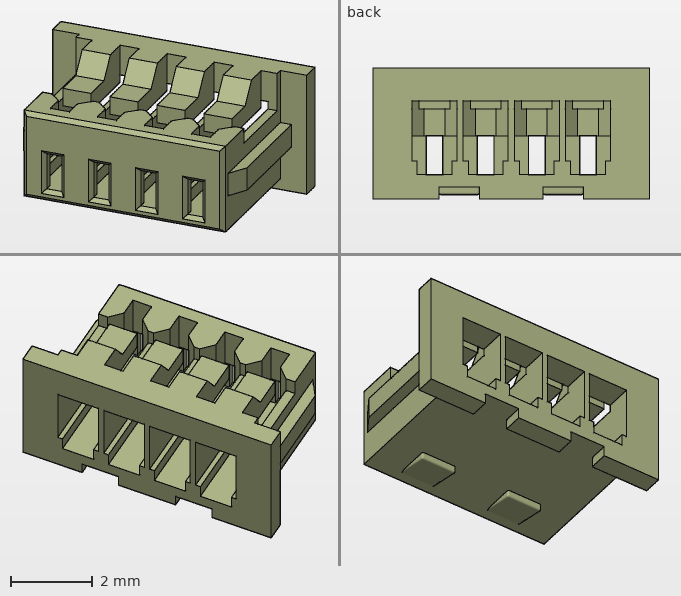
import cadquery as cq


flange_width = 6.75
flange_height = 3.2
flange_thickness = 0.51
depth = 4.0
flange_front = depth - flange_thickness

body_width = 5.345
body_bottom = 0.29
body_top = 2.6
nose_chamfer = 0.11

recess_front = 1.24
recess_back = 3.3
recess_floor = 2.2

contact_count = 4
pitch = 1.25
cavity_floor = 0.595
cavity_front = 0.305
upper_cavity_width = 1.1
lower_cavity_width = 0.845
cavity_top = 2.395
ledge_height = 0.925
throat_width = 0.505
throat_front = 0.445
throat_back = recess_front - (upper_cavity_width - throat_width) / 2

entry_width = 0.4
entry_bottom = cavity_floor
entry_top = 1.54
entry_chamfer = 0.1

beam_width = 0.75
beam_tip = 1.5
beam_top = 2.665
beam_bottom = recess_floor
beam_slope_front = 2.3
beam_slope_back = 2.7

rib_projection = 0.3
rib_bottom = 1.2
rib_height = 0.6
rib_tip = 0.26
rib_slope_back = 0.75

latch_offset = 1.27
latch_width = 0.985
latch_front = 0.37
latch_back = 1.31
latch_bottom = 0.095
latch_rounding = 0.05


def block(x_center, width, y_min, y_max, z_min, z_max):
    """Box centred on x_center, given by its width and its limits in Y and Z."""
    return cq.Workplane("XY").box(width, y_max - y_min, z_max - z_min).translate(
        (x_center, (y_min + y_max) / 2, (z_min + z_max) / 2)
    )


def side_profile(points, x_center, width):
    """(Y, Z) outline extruded along X and centred on x_center."""
    return cq.Workplane("YZ").polyline(points).close().extrude(width / 2, both=True).translate((x_center, 0, 0))


def make_shell():
    """Body with a chamfered nose and open top recess, joined to the flange."""
    body = block(0, body_width, 0, flange_front, body_bottom, body_top)
    body = body.faces("<Y").chamfer(nose_chamfer)
    body = body.cut(block(0, body_width, recess_front, recess_back, recess_floor, body_top))
    flange = block(0, flange_width, flange_front, depth, 0, flange_height)
    recess_wall = block(0, body_width, recess_back, flange_front, recess_floor, flange_height)
    return body.union(flange).union(recess_wall)


def make_cavity(x):
    """Cavity open to the rear, narrower below two side ledges, with a flared throat open to the top."""
    below_ledges = block(x, lower_cavity_width, cavity_front, depth, cavity_floor, ledge_height)
    front = block(x, upper_cavity_width, cavity_front, recess_front, ledge_height, entry_top)
    rear = block(x, upper_cavity_width, recess_front, depth, ledge_height, cavity_top)
    half_throat = throat_width / 2
    half_upper = upper_cavity_width / 2
    throat = (
        cq.Workplane("XY")
        .workplane(offset=entry_top)
        .polyline([
            (x - half_throat, throat_front),
            (x + half_throat, throat_front),
            (x + half_throat, throat_back),
            (x + half_upper, recess_front),
            (x - half_upper, recess_front),
            (x - half_throat, throat_back),
        ])
        .close()
        .extrude(body_top - entry_top)
    )
    return below_ledges.union(front).union(rear).union(throat)


def make_entry(x):
    """Rectangular opening in the mating face with a tapered lead-in."""
    height = entry_top - entry_bottom
    z_center = (entry_top + entry_bottom) / 2
    opening = block(x, entry_width, 0, cavity_front, entry_bottom, entry_top)
    lead_in = (
        cq.Workplane("XZ", origin=(x, 0, z_center))
        .rect(entry_width + 2 * entry_chamfer, height + 2 * entry_chamfer)
        .workplane(offset=-entry_chamfer)
        .rect(entry_width, height)
        .loft(ruled=True)
    )
    return opening.union(lead_in)


def make_beam(x):
    """Cantilever locking beam reaching forward from the recess wall."""
    return side_profile(
        [
            (recess_back, beam_bottom),
            (beam_tip, beam_bottom),
            (beam_tip, beam_top),
            (beam_slope_front, beam_top),
            (beam_slope_back, flange_height),
            (recess_back, flange_height),
        ],
        x,
        beam_width,
    )


def make_ribs():
    """Pair of side guide ribs, made as one bar through the body with tapered front ends."""
    half_body = body_width / 2
    half_span = half_body + rib_projection
    return (
        cq.Workplane("XY")
        .workplane(offset=rib_bottom)
        .polyline([
            (-half_body, rib_tip),
            (half_body, rib_tip),
            (half_span, rib_slope_back),
            (half_span, flange_front),
            (-half_span, flange_front),
            (-half_span, rib_slope_back),
        ])
        .close()
        .extrude(rib_height)
    )


def make_latch(x):
    """Ramp below the body with its back face towards the flange and its free edges rounded."""
    ramp = side_profile(
        [(latch_front, body_bottom), (latch_back, body_bottom), (latch_back, latch_bottom)],
        x,
        latch_width,
    )
    return ramp.edges("not >Z").fillet(latch_rounding)


contact_positions = [(index - (contact_count - 1) / 2) * pitch for index in range(contact_count)]

result = make_shell().union(make_ribs())
for contact_x in contact_positions:
    result = result.cut(make_cavity(contact_x)).cut(make_entry(contact_x)).union(make_beam(contact_x))
for latch_x in (-latch_offset, latch_offset):
    flange_notch = block(latch_x, latch_width, flange_front, depth, 0, body_bottom)
    result = result.cut(flange_notch).union(make_latch(latch_x))